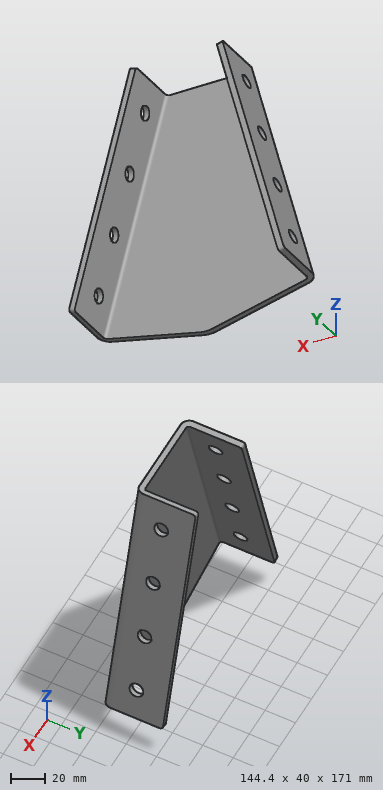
import cadquery as cq
import math

thickness = 4.0
inner_bend_radius = 2.0
outer_bend_radius = inner_bend_radius + thickness
bracket_depth = 40.0
web_top_width = 50.0
flange_length = 160.0
flange_tilt = math.radians(15)
point_drop = 15.39
point_radius = 20.0
corner_radius = 2.0
hole_diameter = 9.0
hole_count = 4
hole_pitch = 40.0
hole_end_distance = 20.0
hole_depth_position = 20.0

bend_bottom_x = web_top_width / 2 + flange_length * math.sin(flange_tilt)
bend_bottom_z = -flange_length * math.cos(flange_tilt)


def make_web():
    """Flat trapezoidal front plate with a blunt, rounded point at the bottom."""
    outline = [
        (-web_top_width / 2, 0),
        (web_top_width / 2, 0),
        (bend_bottom_x, bend_bottom_z),
        (0, bend_bottom_z - point_drop),
        (-bend_bottom_x, bend_bottom_z),
    ]
    plate = cq.Workplane("XZ").polyline(outline).close().extrude(-thickness)
    return plate.edges("|Y").edges("<Z").fillet(point_radius)


def make_right_flange():
    """Bend and flange: an L profile swept straight up along the tilted bend line."""
    profile_plane = cq.Plane(
        origin=(bend_bottom_x, 0, bend_bottom_z),
        xDir=(math.cos(flange_tilt), 0, math.sin(flange_tilt)),
        normal=(-math.sin(flange_tilt), 0, math.cos(flange_tilt)),
    )
    half_diagonal = math.sqrt(0.5)
    outer_mid = (outer_bend_radius * half_diagonal, outer_bend_radius * (1 - half_diagonal))
    inner_mid = (
        inner_bend_radius * half_diagonal,
        outer_bend_radius - inner_bend_radius * half_diagonal,
    )
    flange = (
        cq.Workplane(profile_plane)
        .moveTo(0, 0)
        .threePointArc(outer_mid, (outer_bend_radius, outer_bend_radius))
        .lineTo(outer_bend_radius, bracket_depth)
        .lineTo(inner_bend_radius, bracket_depth)
        .lineTo(inner_bend_radius, outer_bend_radius)
        .threePointArc(inner_mid, (0, thickness))
        .close()
        .extrude(flange_length)
    )
    rear_corners = cq.ParallelDirSelector(profile_plane.xDir)
    flange = flange.faces(">Y").edges(rear_corners).fillet(corner_radius)
    return flange.cut(make_hole_row(profile_plane))


def make_hole_row(profile_plane):
    """Row of cylinders square to the flange, spaced along the bend."""
    row = cq.Workplane("XY")
    for index in range(hole_count):
        along_bend = hole_end_distance + index * hole_pitch
        start = profile_plane.toWorldCoords((0, hole_depth_position, along_bend))
        cylinder = cq.Solid.makeCylinder(
            hole_diameter / 2, 2 * outer_bend_radius, start, profile_plane.xDir
        )
        row = row.add(cylinder)
    return row.combine()


right_flange = make_right_flange()
left_flange = right_flange.mirror("YZ")
result = make_web().union(right_flange).union(left_flange)